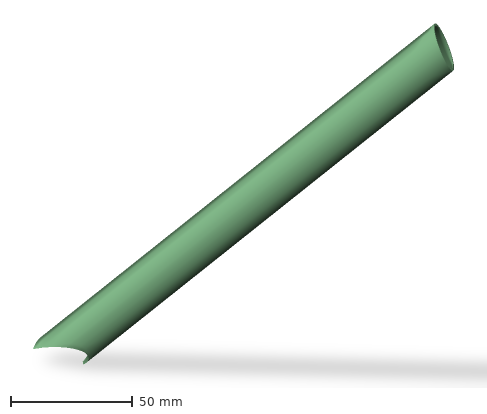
import cadquery as cq

outer_diameter = 20.0
outer_radius = outer_diameter / 2
wall = 1.0
joint_radius = outer_radius
top_length = 267.2

tube_direction = cq.Vector(100, 58.9, 97.8).normalized()
crossing_direction = cq.Vector(1, 0, 0)
lower_cut_normal = cq.Vector(0.63, -0.57, 0.52).normalized()
upper_cut_normal = cq.Vector(0.41, 0.84, 0.36).normalized()

joint = cq.Vector(0, 0, 0)
upper_cut_point = joint + tube_direction * top_length
cutter_size = 8 * outer_radius
spare_length = cutter_size / 2


def rod(radius, start, direction, length):
    """Solid cylinder from a start point along a direction."""
    return cq.Workplane(obj=cq.Solid.makeCylinder(radius, length, start, direction))


def cutting_block(point, direction):
    """Block whose flat face passes through point; it fills the side direction points to."""
    return cq.Workplane(cq.Plane(point, normal=direction)).rect(cutter_size, cutter_size).extrude(cutter_size)


tube_length = top_length + spare_length
tube = rod(outer_radius, joint, tube_direction, tube_length)
tube = tube.cut(rod(outer_radius - wall, joint, tube_direction, tube_length))

saddle_start = joint - crossing_direction * (cutter_size / 2)
tube = tube.cut(rod(joint_radius, saddle_start, crossing_direction, cutter_size))
tube = tube.cut(cutting_block(joint, -lower_cut_normal))

result = tube.cut(cutting_block(upper_cut_point, upper_cut_normal))